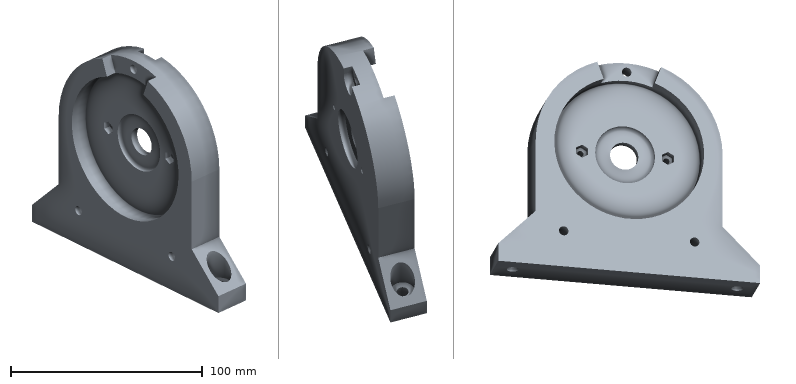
import cadquery as cq
import math

width = 140.0
thickness = 20.0
dome_radius = 50.0
axis_height = 70.0
foot_edge_height = 10.0
foot_slope_top = foot_edge_height + width / 2 - dome_radius
front_y = -thickness / 2
back_y = thickness / 2

pocket_radius = 40.0
pocket_depth = 10.0
floor_fillet = 0.3
pocket_floor_y = front_y + pocket_depth
seat_radius = 16.0
seat_depth = 2.0
seat_fillet = 2.0
bore_radius = 7.5

back_recess_radius = 16.0
back_recess_depth = 4.0

nut_offset = 23.0
nut_across_flats = 6.3
nut_depth = 4.0
nut_hole_radius = 1.7

window_half_angle = 20.0
window_depth = 6.0

screw_radius = 2.5
top_screw_height = axis_height + (dome_radius + pocket_radius) / 2
low_screw_offset = 35.0
low_screw_height = 20.0

slot_radius = 6.6
slot_depth = 4.6

foot_hole_offset = 60.0
foot_hole_radius = 3.1
foot_bore_radius = 6.5
foot_bore_floor = 10.0


def cylinder_y(radius, x, z, start_y, length):
    """Cylinder running toward +Y from start_y."""
    return cq.Workplane(cq.Solid.makeCylinder(radius, length, cq.Vector(x, start_y, z), cq.Vector(0, 1, 0)))


def cylinder_z(radius, x, start_z, length):
    """Upright cylinder in the middle of the thickness."""
    return cq.Workplane(cq.Solid.makeCylinder(radius, length, cq.Vector(x, 0, start_z)))


def front_plane(y):
    """Sketch plane at the given Y, where negative extrusions run toward +Y."""
    return cq.Workplane("XZ", origin=(0, y, 0))


def make_body():
    return (
        front_plane(front_y)
        .moveTo(-width / 2, 0)
        .lineTo(width / 2, 0)
        .lineTo(width / 2, foot_edge_height)
        .lineTo(dome_radius, foot_slope_top)
        .lineTo(dome_radius, axis_height)
        .threePointArc((0, axis_height + dome_radius), (-dome_radius, axis_height))
        .lineTo(-dome_radius, foot_slope_top)
        .lineTo(-width / 2, foot_edge_height)
        .close()
        .extrude(-thickness)
    )


def make_pocket():
    pocket = cylinder_y(pocket_radius, 0, axis_height, front_y, pocket_depth)
    return pocket.faces(">Y").edges().fillet(floor_fillet)


def make_back_recess():
    return cylinder_y(back_recess_radius, 0, axis_height, back_y - back_recess_depth, back_recess_depth)


def make_seat():
    """Shallow recess whose floor meets its wall in a fillet."""
    seat = cylinder_y(seat_radius, 0, axis_height, front_y, pocket_depth + seat_depth)
    return seat.faces(">Y").edges().fillet(seat_fillet)


def make_nut_socket(x):
    """Hexagonal socket with a corner pointing up and a clearance hole behind it."""
    corner_radius = nut_across_flats / math.sqrt(3)
    corners = []
    for index in range(6):
        angle = math.radians(90 + 60 * index)
        corners.append((x + corner_radius * math.cos(angle), axis_height + corner_radius * math.sin(angle)))
    socket = front_plane(pocket_floor_y).polyline(corners).close().extrude(-nut_depth)
    return socket.union(cylinder_y(nut_hole_radius, x, axis_height, pocket_floor_y, thickness))


def make_window():
    """Wedge with its tip on the dome axis, reaching past the rim."""
    reach_height = dome_radius + window_depth
    half_width = reach_height * math.tan(math.radians(window_half_angle))
    wedge = (
        front_plane(front_y)
        .moveTo(0, axis_height)
        .lineTo(half_width, axis_height + reach_height)
        .lineTo(-half_width, axis_height + reach_height)
        .close()
        .extrude(-window_depth)
    )
    return wedge.faces(">Y").edges("not |X").fillet(floor_fillet)


def make_slot():
    """Round recess around the top screw, open through the top of the rim."""
    slot_start = back_y - slot_depth
    end = cylinder_y(slot_radius, 0, top_screw_height, slot_start, slot_depth)
    opening = cq.Workplane("XY").box(2 * slot_radius, slot_depth, dome_radius, centered=(True, False, False))
    return end.union(opening.translate((0, slot_start, top_screw_height)))


def make_foot_hole(x):
    bore = cylinder_z(foot_bore_radius, x, foot_bore_floor, foot_slope_top)
    return bore.union(cylinder_z(foot_hole_radius, x, 0, foot_slope_top))


result = make_body()
result = result.cut(make_pocket())
result = result.cut(make_seat())
result = result.cut(cylinder_y(bore_radius, 0, axis_height, front_y, thickness))
result = result.cut(make_back_recess())
result = result.cut(make_window())
result = result.cut(make_slot())
result = result.cut(cylinder_y(screw_radius, 0, top_screw_height, front_y, thickness))

for side in (-1, 1):
    result = result.cut(make_nut_socket(side * nut_offset))
    result = result.cut(cylinder_y(screw_radius, side * low_screw_offset, low_screw_height, front_y, thickness))
    result = result.cut(make_foot_hole(side * foot_hole_offset))